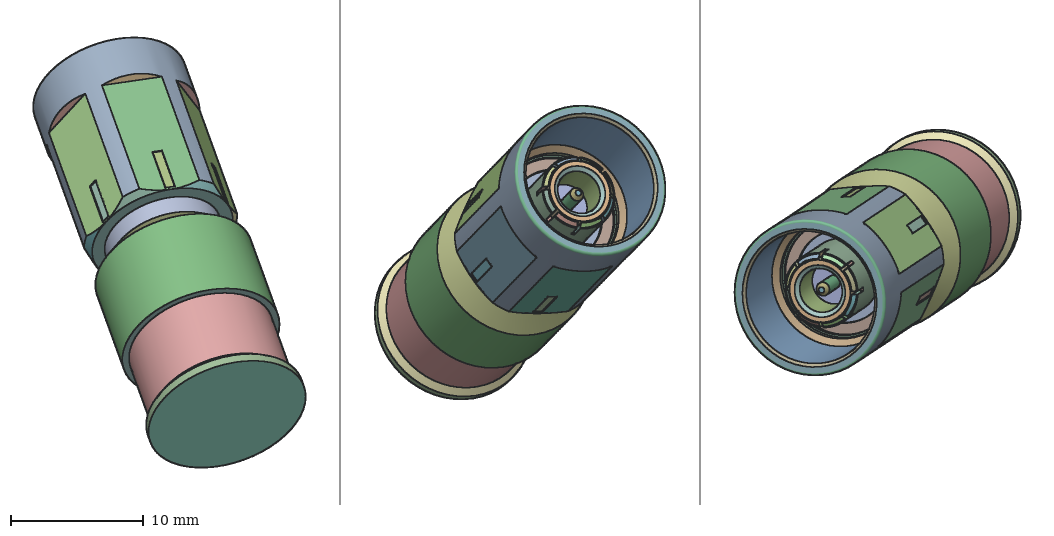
import cadquery as cq

LENGTH = 32.4
BODY_RADIUS = 6.15

NUT_RADIUS = 6.0
NUT_END = 14.68
NUT_FRONT_ROUND = 0.2
NUT_REAR_CHAMFER = 0.5
FLAT_COUNT = 6
FLAT_TILT = -7.0
FLAT_DISTANCE = 5.5
FLAT_START = 3.92
FLAT_RISE_START = 3.65
MARK_START = 10.9
MARK_END = 14.45
MARK_WIDTH = 0.75
MARK_DEPTH = 0.1

NECK_RADIUS = 4.55
CONE_START = 16.17
CONE_END = CONE_START + BODY_RADIUS - NECK_RADIUS
BODY_END = 25.2
SLEEVE_RADIUS = 5.65
FLANGE_CHAMFER_END = 31.72
FLANGE_CHAMFER_START = FLANGE_CHAMFER_END - (BODY_RADIUS - SLEEVE_RADIUS)

MOUTH_RADIUS = 5.3
BORE_RADIUS = 5.1
MOUTH_DEPTH = MOUTH_RADIUS - BORE_RADIUS
SEAT_RADIUS = 4.6
SEAT_CONE_START = 6.48
SEAT_CONE_END = SEAT_CONE_START + BORE_RADIUS - SEAT_RADIUS
SEAT_DEPTH = 7.45
STEP_RADIUS = 4.45
STEP_DEPTH = 7.78
RECESS_RADIUS = 3.55
RECESS_DEPTH = 8.1

TUBE_START = 2.53
TUBE_RADIUS = 2.4
TUBE_MOUTH_RADIUS = 2.0
TUBE_BORE_RADIUS = 1.7
TUBE_BORE_DEPTH = 5.83
TUBE_CHAMFER_END = 2.8

COLLET_START = 2.6
COLLET_BORE_RADIUS = 2.5
COLLET_TIP_RADIUS = 2.8
COLLET_RADIUS = 2.88
COLLET_SHOULDER = COLLET_START + COLLET_TIP_RADIUS - COLLET_BORE_RADIUS
SLOT_COUNT = 8
SLOT_WIDTH = 0.25
SLOT_END = 4.2

PIN_RADIUS = 0.52
PIN_TIP_RADIUS = 0.23
PIN_START = 2.9
PIN_SHOULDER = 3.27


def turned(points):
    """Solid turned about the X axis from an (x, radius) outline."""
    outline = cq.Workplane("XY").polyline(points).close()
    return outline.revolve(360, (0, 0, 0), (1, 0, 0))


def outer_body():
    nut = (
        cq.Workplane("YZ").circle(NUT_RADIUS).extrude(NUT_END)
        .faces("<X").edges().fillet(NUT_FRONT_ROUND)
        .faces(">X").edges().chamfer(NUT_REAR_CHAMFER)
    )
    rear = turned([
        (NUT_END, 0),
        (NUT_END, NECK_RADIUS),
        (CONE_START, NECK_RADIUS),
        (CONE_END, BODY_RADIUS),
        (BODY_END, BODY_RADIUS),
        (BODY_END, SLEEVE_RADIUS),
        (FLANGE_CHAMFER_START, SLEEVE_RADIUS),
        (FLANGE_CHAMFER_END, BODY_RADIUS),
        (LENGTH, BODY_RADIUS),
        (LENGTH, 0),
    ])
    return nut.union(rear)


def around_flats(feature):
    """Copies of a feature made on the +Z side, one for each flat."""
    for index in range(FLAT_COUNT):
        yield feature.rotate((0, 0, 0), (1, 0, 0), FLAT_TILT + index * 360 / FLAT_COUNT)


def flat_cutter():
    wall_slope = (FLAT_RISE_START - FLAT_START) / (NUT_RADIUS - FLAT_DISTANCE)
    top_start = FLAT_START + wall_slope * (BODY_RADIUS - FLAT_DISTANCE)
    return cq.Workplane("XZ").polyline([
        (FLAT_START, FLAT_DISTANCE),
        (NUT_END, FLAT_DISTANCE),
        (NUT_END, BODY_RADIUS),
        (top_start, BODY_RADIUS),
    ]).close().extrude(BODY_RADIUS, both=True)


def flat_mark():
    return cq.Workplane("XY").box(
        MARK_END - MARK_START, MARK_WIDTH, 2 * MARK_DEPTH, centered=(False, True, True)
    ).translate((MARK_START, 0, FLAT_DISTANCE))


def socket():
    return turned([
        (0, 0),
        (0, MOUTH_RADIUS),
        (MOUTH_DEPTH, BORE_RADIUS),
        (SEAT_CONE_START, BORE_RADIUS),
        (SEAT_CONE_END, SEAT_RADIUS),
        (SEAT_DEPTH, SEAT_RADIUS),
        (SEAT_DEPTH, STEP_RADIUS),
        (STEP_DEPTH, STEP_RADIUS),
        (STEP_DEPTH, RECESS_RADIUS),
        (RECESS_DEPTH, RECESS_RADIUS),
        (RECESS_DEPTH, 0),
    ])


def inner_sleeve():
    return turned([
        (TUBE_START, TUBE_MOUTH_RADIUS),
        (TUBE_START, TUBE_RADIUS),
        (RECESS_DEPTH, TUBE_RADIUS),
        (RECESS_DEPTH, 0),
        (TUBE_BORE_DEPTH, 0),
        (TUBE_BORE_DEPTH, TUBE_BORE_RADIUS),
        (TUBE_CHAMFER_END, TUBE_BORE_RADIUS),
    ])


def collet():
    shell = turned([
        (COLLET_START, COLLET_BORE_RADIUS),
        (COLLET_SHOULDER, COLLET_TIP_RADIUS),
        (COLLET_SHOULDER, COLLET_RADIUS),
        (RECESS_DEPTH, COLLET_RADIUS),
        (RECESS_DEPTH, TUBE_RADIUS),
        (SLOT_END, TUBE_RADIUS),
        (SLOT_END, COLLET_BORE_RADIUS),
    ])
    slot = cq.Workplane("XY").box(
        SLOT_END - COLLET_START, SLOT_WIDTH, COLLET_RADIUS, centered=(False, True, False)
    ).translate((COLLET_START, 0, 0))
    for index in range(SLOT_COUNT):
        shell = shell.cut(slot.rotate((0, 0, 0), (1, 0, 0), index * 360 / SLOT_COUNT))
    return shell


def centre_pin():
    return turned([
        (PIN_START, 0),
        (PIN_START, PIN_TIP_RADIUS),
        (PIN_SHOULDER, PIN_RADIUS),
        (TUBE_BORE_DEPTH, PIN_RADIUS),
        (TUBE_BORE_DEPTH, 0),
    ])


body = outer_body()
for cutter in around_flats(flat_cutter()):
    body = body.cut(cutter)
for mark in around_flats(flat_mark()):
    body = body.cut(mark)
result = body.cut(socket()).union(inner_sleeve()).union(collet()).union(centre_pin())